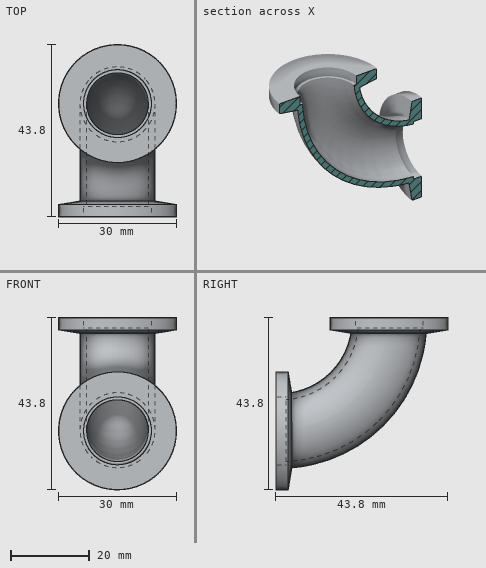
import cadquery as cq

flange_diameter = 30.0
rim_thickness = 3.1
cone_height = 0.9
recess_diameter = 17.25
recess_depth = 2.6

tube_diameter = 19.0
bore_diameter = 15.7
bend_inset = 1.0

overall_length = 43.8
face_distance = overall_length - flange_diameter / 2
bend_radius = face_distance - bend_inset

corner_y = face_distance - overall_length / 2
corner_z = -corner_y
top_face = cq.Plane(
    origin=(0, corner_y, corner_z + face_distance), xDir=(1, 0, 0), normal=(0, 0, 1)
)
front_face = cq.Plane(
    origin=(0, corner_y - face_distance, corner_z), xDir=(1, 0, 0), normal=(0, -1, 0)
)


def make_bend(diameter):
    """Solid quarter bend joining the two flanges, starting inside each of them."""
    return (
        cq.Workplane(top_face)
        .workplane(offset=-bend_inset)
        .circle(diameter / 2)
        .revolve(90, (0.45, -bend_radius, 0), (0, -bend_radius, 0))
    )


def make_flange(face):
    """Flange with a cylindrical rim and a conical back tapering to the tube."""
    rim = cq.Workplane(face).circle(flange_diameter / 2).extrude(-rim_thickness)
    cone = (
        cq.Workplane(face)
        .workplane(offset=-rim_thickness)
        .circle(flange_diameter / 2)
        .workplane(offset=-cone_height)
        .circle(tube_diameter / 2)
        .loft(ruled=True)
    )
    return rim.union(cone)


def make_recess(face):
    """Shallow centering recess in a flange face."""
    return cq.Workplane(face).circle(recess_diameter / 2).extrude(-recess_depth)


result = make_bend(tube_diameter)
for face in (top_face, front_face):
    result = result.union(make_flange(face))

result = result.cut(make_bend(bore_diameter))
for face in (top_face, front_face):
    result = result.cut(make_recess(face))